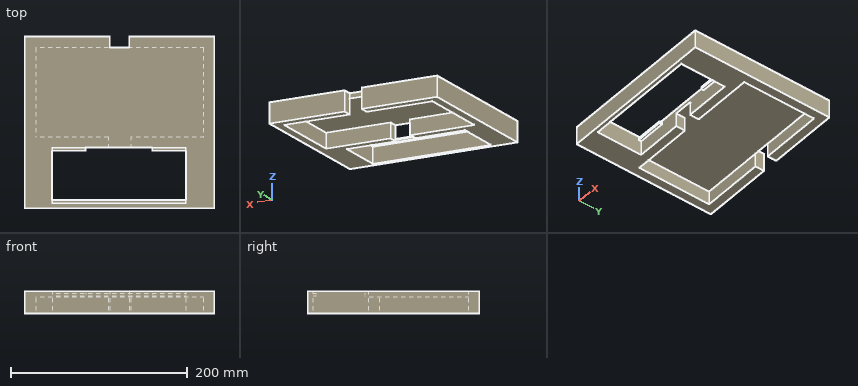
import cadquery as cq

length = 215.2
width = 194.7
height = 25.4
wall = 12.5
roof = 6.5

window_left = 31.2
window_length = 151.5
window_front = 5.8
window_width = 62.8
window_back = window_front + window_width

ledge_width = 3.7
ledge_thickness = 2.5
ledge_drop = 2.5
back_ledge_length = 38.0

notch_length = 22.0
notch_width = wall
passage_length = 25.0


def box(x, y, z, size_x, size_y, size_z):
    """Box with its lowest corner at (x, y, z)."""
    return cq.Workplane("XY").box(size_x, size_y, size_z, centered=False).translate((x, y, z))


def ledge(x, y, ledge_length):
    """Narrow bar just below the top face."""
    bottom = height - ledge_drop - ledge_thickness
    return box(x, y, bottom, ledge_length, ledge_width, ledge_thickness)


plate = box(0, 0, 0, length, width, height)
window = box(window_left, window_front, 0, window_length, window_width, height)
notch = box((length - notch_length) / 2, width - notch_width, 0, notch_length, notch_width, height)

cavity_front = window_back + wall
cavity_width = width - wall - cavity_front
cavity = box(wall, cavity_front, 0, length - 2 * wall, cavity_width, height - roof)

passage = box((length - passage_length) / 2, window_back, 0, passage_length, wall, height - roof)

result = plate.cut(window).cut(notch).cut(cavity).cut(passage)

back_ledge_y = window_back - ledge_width
right_ledge_x = window_left + window_length - back_ledge_length
result = result.union(ledge(window_left, window_front, window_length))
for ledge_x in (window_left, right_ledge_x):
    result = result.union(ledge(ledge_x, back_ledge_y, back_ledge_length))